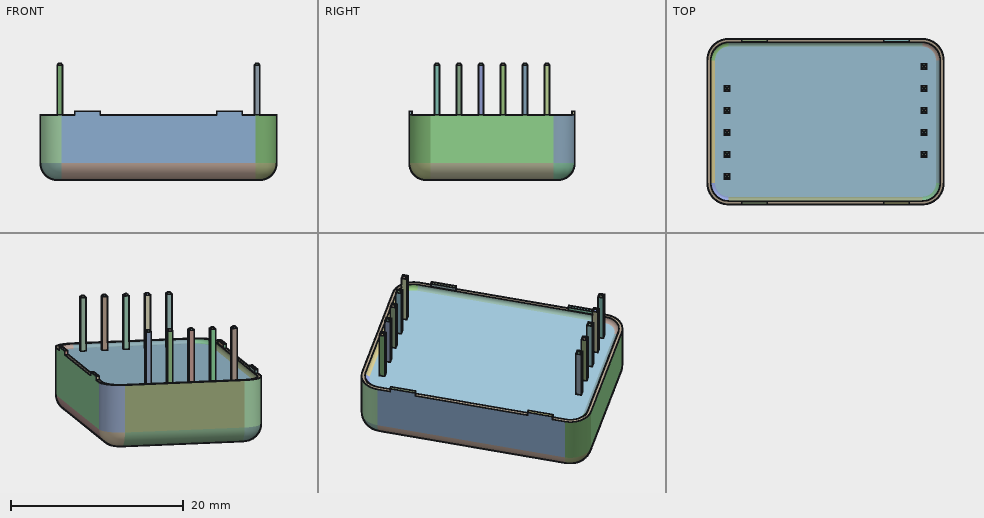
import cadquery as cq

case_length = 27.4
case_width = 19.2
case_height = 7.55
corner_radius = 2.5
bottom_fillet = 2.0

rim_thickness = 0.4
recess_depth = 0.5

tab_length = 3.0
tab_thickness = 0.35
tab_height = 0.45
tab_offset_x = 8.22

pin_size = 0.63
pin_top = 13.55
pin_tip_chamfer = 0.22
pin_pitch = 2.55
pin_row_x = 11.43
pins_per_row = 5
row_shift_y = pin_pitch / 2

floor_height = case_height - recess_depth


def rounded_block(length, width, height, radius, bottom_z):
    """Box with rounded vertical corners, standing on bottom_z."""
    block = cq.Workplane("XY").workplane(offset=bottom_z).rect(length, width).extrude(height)
    return block.edges("|Z").fillet(radius)


def make_case():
    """Case with a rounded bottom and a coved recess in its top."""
    body = rounded_block(case_length, case_width, case_height, corner_radius, 0)
    body = body.faces("<Z").edges().fillet(bottom_fillet)
    recess = rounded_block(
        case_length - 2 * rim_thickness,
        case_width - 2 * rim_thickness,
        2 * recess_depth,
        corner_radius - rim_thickness,
        floor_height,
    )
    recess = recess.faces("<Z").edges().fillet(recess_depth)
    return body.cut(recess)


def make_tabs():
    """Four tabs flush with the outer faces of the long sides."""
    tab_y = (case_width - tab_thickness) / 2
    centres = [(x, y) for x in (-tab_offset_x, tab_offset_x) for y in (-tab_y, tab_y)]
    tabs = cq.Workplane("XY").workplane(offset=case_height).pushPoints(centres)
    return tabs.rect(tab_length, tab_thickness).extrude(tab_height)


def make_pin_row(row_x, centre_y):
    """Row of square pins with chamfered tips, rising from the recess floor."""
    first_y = centre_y - pin_pitch * (pins_per_row - 1) / 2
    centres = [(row_x, first_y + i * pin_pitch) for i in range(pins_per_row)]
    pins = cq.Workplane("XY").workplane(offset=floor_height).pushPoints(centres)
    pins = pins.rect(pin_size, pin_size).extrude(pin_top - floor_height)
    return pins.faces(">Z").edges().chamfer(pin_tip_chamfer)


result = (
    make_case()
    .union(make_tabs())
    .union(make_pin_row(-pin_row_x, -row_shift_y))
    .union(make_pin_row(pin_row_x, row_shift_y))
)